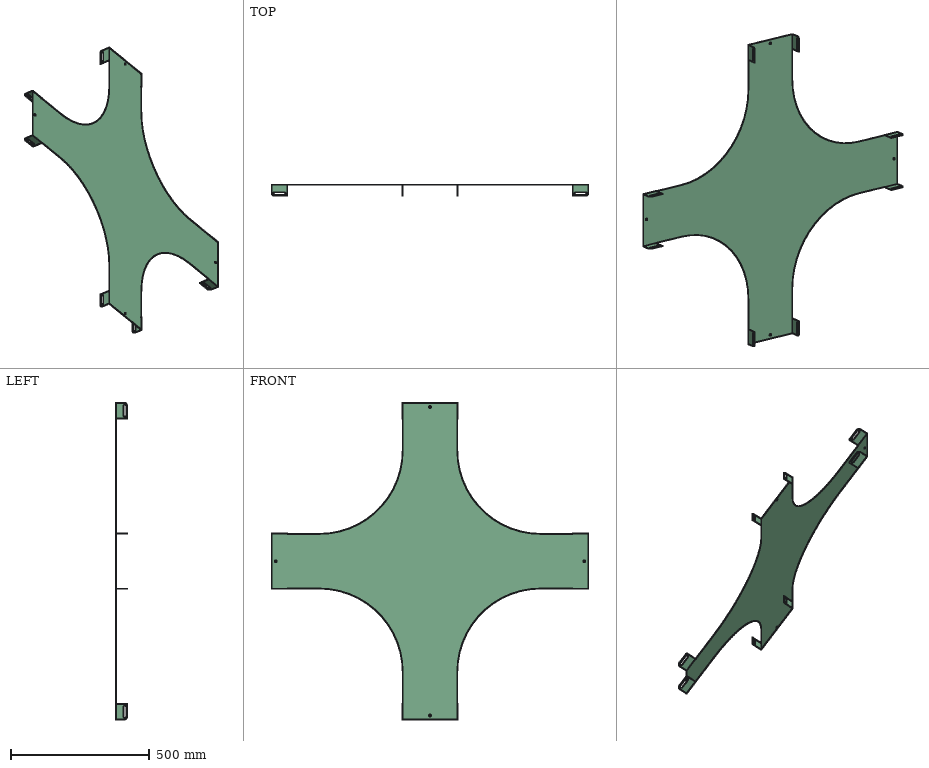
import cadquery as cq

span = 1146.0
depth = 40.0
sheet = 1.0
tab_face_span = 200.0
corner_radius = 300.0

tab_length = 57.0
tab_corner_radius = 10.0
bend_radius = 0.9

slot_length = 44.0
slot_width = 9.0
slot_edge_gap = 3.0

hole_diameter = 6.4
hole_end_gap = 15.0

half_span = span / 2
half_arm = tab_face_span / 2 - sheet
tab_middle = half_span - tab_length / 2
slot_y = -depth + slot_edge_gap + slot_width / 2
arm_angles = [0, 90, 180, 270]


def turned(body, angle):
    """Turn a body about the Y axis through the centre of the cross."""
    return body.rotate((0, 0, 0), (0, 1, 0), angle)


def make_cross():
    """Flat four-armed sheet with concave rounded inner corners."""
    arm_width = 2 * half_arm
    across = cq.Workplane("XZ").rect(span, arm_width).extrude(sheet)
    upright = cq.Workplane("XZ").rect(arm_width, span).extrude(sheet)
    cross = across.union(upright)
    inner_corners = cq.selectors.BoxSelector(
        (-half_arm - sheet, -depth, -half_arm - sheet),
        (half_arm + sheet, depth, half_arm + sheet),
    )
    return cross.edges("|Y").edges(inner_corners).fillet(corner_radius)


def make_tab(side):
    """Slotted tab on one side (+1 or -1) of the +X arm, with its outer free corner rounded."""
    tab_z = side * (half_arm + sheet / 2)
    tab = cq.Workplane("XY").box(tab_length, depth, sheet).translate((tab_middle, -depth / 2, tab_z))
    tab = tab.edges("|Z").edges(">X and <Y").fillet(tab_corner_radius)
    fold_edge = "|X and >Y and " + (">Z" if side > 0 else "<Z")
    tab = tab.edges(fold_edge).fillet(bend_radius)
    slot = (
        cq.Workplane("XY")
        .center(tab_middle, slot_y)
        .slot2D(slot_length, slot_width)
        .extrude(2 * sheet, both=True)
        .translate((0, 0, tab_z))
    )
    return tab.cut(slot)


def make_hole_cutter():
    """Round cutter through the sheet near the end of the +X arm."""
    return (
        cq.Workplane("XZ")
        .center(half_span - hole_end_gap, 0)
        .circle(hole_diameter / 2)
        .extrude(2 * sheet, both=True)
    )


result = make_cross()
for angle in arm_angles:
    for side in (1, -1):
        result = result.union(turned(make_tab(side), angle))
    result = result.cut(turned(make_hole_cutter(), angle))